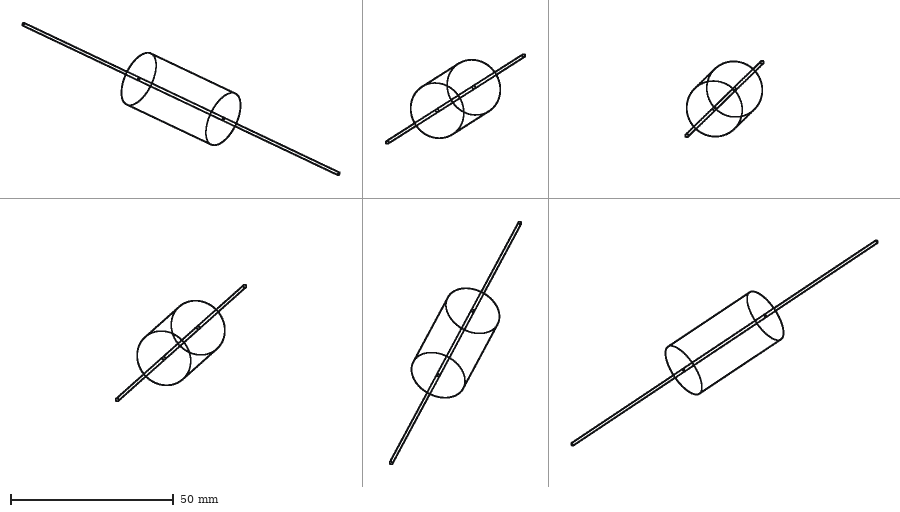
import cadquery as cq

overall_length = 123.0
case_length = 33.0
case_diameter = 17.5
lead_diameter = 1.0


def rod_along_x(diameter, length):
    """Round bar on the X axis, centred on the origin."""
    return cq.Workplane("YZ", origin=(-length / 2, 0, 0)).circle(diameter / 2).extrude(length)


lead = rod_along_x(lead_diameter, overall_length)

lead_bore = rod_along_x(lead_diameter, case_length)
case = rod_along_x(case_diameter, case_length).cut(lead_bore)

result = cq.Compound.makeCompound([case.val(), lead.val()])